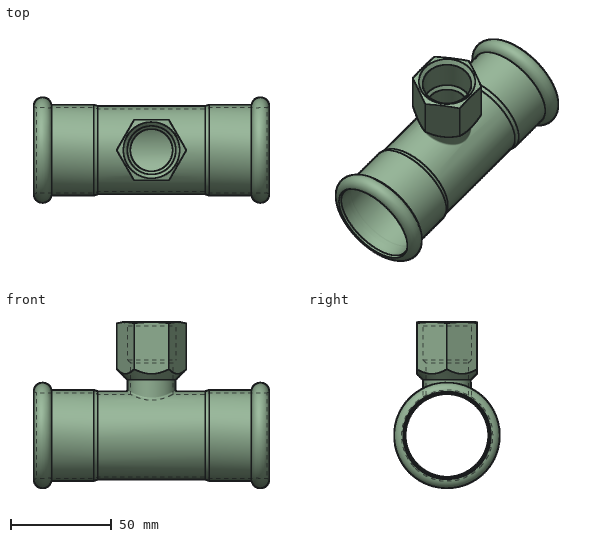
import cadquery as cq
import math

length = 117.3
half_length = length / 2
run_outer_radius = 44.0 / 2
run_bore_radius = 41.0 / 2
socket_outer_radius = 45.4 / 2
socket_bore_radius = 42.7 / 2
socket_depth = 29.9
step_length = 2.1

bead_outer_radius = 52.7 / 2
bead_width = 9.0
bead_radius = bead_width / 2
bead_ring_radius = bead_outer_radius - bead_radius

mouth_radius = bead_ring_radius
throat_radius = 42.3 / 2
lead_in_length = 1.3
throat_taper_start = 3.0
throat_start = 5.9
throat_end = 8.2

overall_height = 82.8
branch_top = overall_height - bead_outer_radius
neck_radius = 23.9 / 2
neck_bore_radius = 21.0 / 2
neck_fillet = 0.7
hex_across_flats = 30.0
hex_across_corners = hex_across_flats / math.cos(math.pi / 6)
hex_corner_radius = hex_across_corners / 2
cone_bottom = 27.7
cone_bottom_radius = 24.2 / 2
top_edge_drop = 0.7
thread_bore_radius = 24.2 / 2
thread_depth = 18.8
mouth_chamfer_radius = 28.0 / 2
mouth_chamfer_depth = 2.0


def revolve_about_x(profile):
    return profile.close().revolve(360, (0, 0, 0), (1, 0, 0))


def revolve_about_z(profile):
    return profile.close().revolve(360, (0, 0, 0), (0, 1, 0))


def run_body():
    """Solid outside of the run pipe, wider over the two sockets."""
    socket_end = half_length - socket_depth
    step_end = socket_end - step_length
    bead_centre = half_length - bead_radius
    return revolve_about_x(
        cq.Workplane("XY")
        .moveTo(-bead_centre, 0)
        .lineTo(-bead_centre, socket_outer_radius)
        .lineTo(-socket_end, socket_outer_radius)
        .lineTo(-step_end, run_outer_radius)
        .lineTo(step_end, run_outer_radius)
        .lineTo(socket_end, socket_outer_radius)
        .lineTo(bead_centre, socket_outer_radius)
        .lineTo(bead_centre, 0)
    )


def bead(side):
    """Half-round bead at one end; side is -1 or 1. Its inside is cleared by the socket bore."""
    outer_x = side * half_length
    inner_x = side * (half_length - bead_width)
    return revolve_about_x(
        cq.Workplane("XY")
        .moveTo(inner_x, 0)
        .lineTo(inner_x, bead_ring_radius)
        .threePointArc(((inner_x + outer_x) / 2, bead_outer_radius), (outer_x, bead_ring_radius))
        .lineTo(outer_x, 0)
    )


def socket_bore(side):
    """Stepped bore of one socket, tapering down to the bore of the run."""
    stations = [
        (0, 0),
        (0, mouth_radius),
        (lead_in_length, socket_bore_radius),
        (throat_taper_start, socket_bore_radius),
        (throat_start, throat_radius),
        (throat_end, throat_radius),
        (bead_width, socket_bore_radius),
        (socket_depth, socket_bore_radius),
        (socket_depth + step_length, run_bore_radius),
        (socket_depth + step_length, 0),
    ]
    points = [(side * (half_length - depth), radius) for depth, radius in stations]
    return revolve_about_x(cq.Workplane("XY").polyline(points))


def hex_head():
    """Hexagon with corners on X, trimmed by a 45 degree cone below and a shallow one on top."""
    cone_top = cone_bottom + hex_corner_radius - cone_bottom_radius
    prism = (
        cq.Workplane("XY")
        .workplane(offset=cone_bottom)
        .polygon(6, hex_across_corners)
        .extrude(branch_top - cone_bottom)
    )
    envelope = revolve_about_z(
        cq.Workplane("XZ")
        .moveTo(0, cone_bottom)
        .lineTo(cone_bottom_radius, cone_bottom)
        .lineTo(hex_corner_radius, cone_top)
        .lineTo(hex_corner_radius, branch_top - top_edge_drop)
        .lineTo(mouth_chamfer_radius, branch_top)
        .lineTo(0, branch_top)
    )
    return prism.intersect(envelope)


def branch_bore():
    """Chamfered thread bore narrowing at 45 degrees to the neck bore, which opens into the run."""
    thread_bottom = branch_top - thread_depth
    taper_bottom = thread_bottom - (thread_bore_radius - neck_bore_radius)
    return revolve_about_z(
        cq.Workplane("XZ")
        .lineTo(neck_bore_radius, 0)
        .lineTo(neck_bore_radius, taper_bottom)
        .lineTo(thread_bore_radius, thread_bottom)
        .lineTo(thread_bore_radius, branch_top - mouth_chamfer_depth)
        .lineTo(mouth_chamfer_radius, branch_top)
        .lineTo(0, branch_top)
    )


neck = cq.Workplane("XY").circle(neck_radius).extrude(cone_bottom)
body = run_body().union(neck)
joint_margin = 1.2
joint_reach = neck_radius + joint_margin
joint_box = cq.selectors.BoxSelector(
    (-joint_reach, -joint_reach, joint_margin),
    (joint_reach, joint_reach, cone_bottom - joint_margin),
)
joint_edges = body.edges(joint_box).edges("not %LINE")
body = joint_edges.fillet(neck_fillet)

body = body.union(hex_head())
for end in (-1, 1):
    body = body.union(bead(end))

body = body.cut(cq.Workplane("YZ").circle(run_bore_radius).extrude(half_length, both=True))
for end in (-1, 1):
    body = body.cut(socket_bore(end))
result = body.cut(branch_bore())